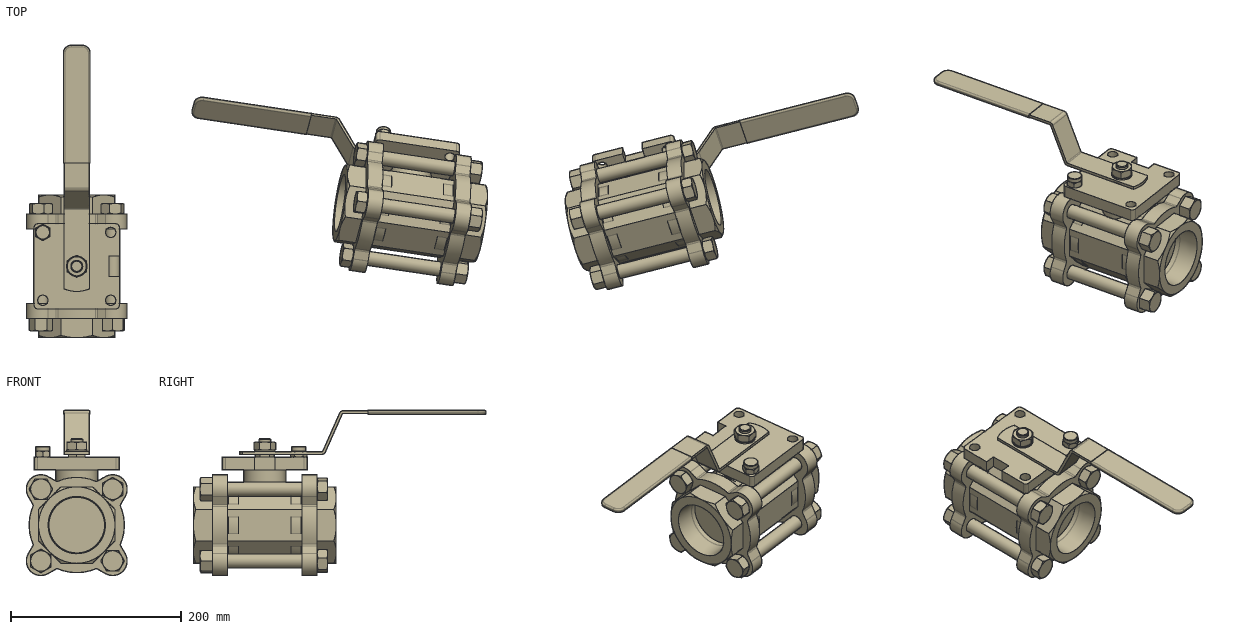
import cadquery as cq
import math


OVERALL_LENGTH = 344.0
OVERALL_WIDTH = 118.7

HEX_SIDES = 6
VERTEX_TO_Y = 30.0

BODY_SIDES = 8
BODY_FLATS = 89.8
BODY_HALF_LENGTH = 84.0
BODY_CHAMFER = 2.8
PORT_MOUTH_DIA = 67.5
PORT_DIA = 65.5
PORT_TAPER_DEPTH = 23.7
PORT_DEPTH = 30.0

BAND_DIA = 92.0
BAND_INNER_Y = 31.0
BAND_OUTER_Y = 42.5

FLANGE_RADIUS = 56.0
FLANGE_INNER_Y = 43.7
FLANGE_OUTER_Y = 61.5
EAR_RADIUS = 17.2
EAR_OFFSET = OVERALL_WIDTH / 2 - EAR_RADIUS
EAR_BLEND_ANGLE = 30.0
EAR_ROOT_FILLET = 2.8

ROD_DIA = 17.0
BOLT_FLATS = 24.0
BOLT_HEAD_HEIGHT = 14.5
BOLT_NUT_HEIGHT = 12.5
HEX_CHAMFER = 1.0
HEAD_SPIN = 0.0
NUT_SPIN = 15.0

NECK_DIA = 50.0
PLATE_SIDE = 100.0
PLATE_BOTTOM = 65.0
PLATE_TOP = 79.8
PLATE_CORNER_RADIUS = 4.0
PLATE_HOLE_OFFSET = 40.0
PLATE_HOLE_DIA = 12.0
NOTCH_WIDTH = 24.0
NOTCH_DEPTH = 12.0

STOP_DIA = 17.0
STOP_HEX_HEIGHT = 7.2
STOP_HEIGHT = 12.5
STOP_EDGE_CHAMFER = 0.5

STEM_FLATS = 19.5
STEM_DIA = 14.0
STEM_TOP = 101.5
STEM_CHAMFER = 1.0
WASHER_DIA = 24.0
WASHER_THICKNESS = 1.7
STEM_NUT_FLATS = 22.5
STEM_NUT_HEIGHT = 9.5

LEVER_WIDTH = 30.0
LEVER_THICKNESS = 3.5
LEVER_BOTTOM = 83.0
LEVER_TOP = 134.5
LEVER_NOSE_Y = -29.5
LEVER_NOSE_SAGITTA = 3.0
LOWER_BEND_Y = 67.8
UPPER_BEND_Y = 89.0
BEND_INNER_RADIUS = 1.5

GRIP_START_Y = 121.5
GRIP_TIP_Y = OVERALL_LENGTH - BODY_HALF_LENGTH
GRIP_WIDTH = 31.5
GRIP_THICKNESS = 5.0
GRIP_COVER = 0.5
GRIP_CORNER_RADIUS = 9.5
GRIP_EDGE_RADIUS = 2.0


def cylinder(diameter, bottom, top):
    """Upright cylinder on the Z axis."""
    return cq.Workplane("XY").workplane(offset=bottom).circle(diameter / 2).extrude(top - bottom)


def prism(sides, flats, height, spin):
    """Upright regular prism given by its width across flats and turned by spin degrees."""
    corner_dia = flats / math.cos(math.pi / sides)
    blank = cq.Workplane("XY").polygon(sides, corner_dia).extrude(height)
    return blank.rotate((0, 0, 0), (0, 0, 1), spin)


def chamfered_prism(sides, flats, height, spin, chamfer, both_ends=True):
    """Upright regular prism whose corners are turned down to the inscribed circle at its ends."""
    end_radius = flats / 2
    corner_radius = end_radius / math.cos(math.pi / sides)
    bottom = [(end_radius, 0), (corner_radius, chamfer)] if both_ends else [(corner_radius, 0)]
    top = [(corner_radius, height - chamfer), (end_radius, height)]
    envelope = (
        cq.Workplane("XZ")
        .polyline([(0, 0)] + bottom + top + [(0, height)])
        .close()
        .revolve(360, (0, 0), (0, 1))
    )
    return prism(sides, flats, height, spin).intersect(envelope)


def lay_forward(solid, start_y):
    """Turn an upright solid so that it grows toward -Y from start_y."""
    return solid.rotate((0, 0, 0), (1, 0, 0), 90).translate((0, start_y, 0))


def both_ends_of(solid):
    """The solid together with its mirror image across the middle of the valve."""
    return solid.union(solid.mirror("XZ"))


def make_body():
    body = chamfered_prism(BODY_SIDES, BODY_FLATS, 2 * BODY_HALF_LENGTH, 180 / BODY_SIDES, BODY_CHAMFER)
    band = cylinder(BAND_DIA, BAND_INNER_Y, BAND_OUTER_Y)
    return lay_forward(body, BODY_HALF_LENGTH).union(both_ends_of(lay_forward(band, 0)))


def make_ports():
    """Blind tapered sockets at both ends of the bore."""
    port = (
        cq.Workplane("XY")
        .moveTo(0, -BODY_HALF_LENGTH)
        .lineTo(PORT_MOUTH_DIA / 2, -BODY_HALF_LENGTH)
        .lineTo(PORT_DIA / 2, PORT_TAPER_DEPTH - BODY_HALF_LENGTH)
        .lineTo(PORT_DIA / 2, PORT_DEPTH - BODY_HALF_LENGTH)
        .lineTo(0, PORT_DEPTH - BODY_HALF_LENGTH)
        .close()
        .revolve(360, (0, 0), (0, 1))
    )
    return both_ends_of(port)


def make_flanges():
    thickness = FLANGE_OUTER_Y - FLANGE_INNER_Y
    angle = math.radians(EAR_BLEND_ANGLE)
    tangent_low = EAR_OFFSET - EAR_RADIUS * math.sin(angle)
    tangent_high = EAR_OFFSET + EAR_RADIUS * math.cos(angle)
    run = EAR_RADIUS
    root_low = tangent_low - run * math.cos(angle)
    root_high = tangent_high - run * math.sin(angle)
    ear_web = [
        (0, 0),
        (root_low, root_high),
        (tangent_low, tangent_high),
        (tangent_high, tangent_low),
        (root_high, root_low),
    ]
    ear = cq.Workplane("XY").polyline(ear_web).close().extrude(thickness)
    ear = ear.union(cylinder(2 * EAR_RADIUS, 0, thickness).translate((EAR_OFFSET, EAR_OFFSET, 0)))
    flange = cylinder(2 * FLANGE_RADIUS, 0, thickness)
    for quarter in range(4):
        flange = flange.union(ear.rotate((0, 0, 0), (0, 0, 1), 90 * quarter))
    flange = flange.edges("|Z").fillet(EAR_ROOT_FILLET)
    return both_ends_of(lay_forward(flange, -FLANGE_INNER_Y))


def make_tie_bolts():
    rod = lay_forward(cylinder(ROD_DIA, -FLANGE_OUTER_Y, FLANGE_OUTER_Y), 0)
    head = chamfered_prism(HEX_SIDES, BOLT_FLATS, BOLT_HEAD_HEIGHT, HEAD_SPIN, HEX_CHAMFER, False)
    nut = chamfered_prism(HEX_SIDES, BOLT_FLATS, BOLT_NUT_HEIGHT, NUT_SPIN, HEX_CHAMFER)
    bolt = rod.union(lay_forward(head, -FLANGE_OUTER_Y))
    bolt = bolt.union(lay_forward(nut, -FLANGE_OUTER_Y).mirror("XZ"))
    bolt = bolt.translate((-EAR_OFFSET, 0, EAR_OFFSET))
    bolts = bolt
    for quarter in range(1, 4):
        bolts = bolts.union(bolt.rotate((0, 0, 0), (0, 1, 0), 90 * quarter))
    return bolts


def make_plate():
    """Neck and square mounting plate with corner holes and a notch in its +X side."""
    thickness = PLATE_TOP - PLATE_BOTTOM
    base = cq.Workplane("XY").workplane(offset=PLATE_BOTTOM)
    plate = base.rect(PLATE_SIDE, PLATE_SIDE).extrude(thickness)
    plate = plate.edges("|Z").fillet(PLATE_CORNER_RADIUS)
    holes = base.rect(2 * PLATE_HOLE_OFFSET, 2 * PLATE_HOLE_OFFSET, forConstruction=True).vertices()
    notch = base.center(PLATE_SIDE / 2, 0).rect(2 * NOTCH_DEPTH, NOTCH_WIDTH).extrude(thickness)
    plate = plate.cut(holes.circle(PLATE_HOLE_DIA / 2).extrude(thickness)).cut(notch)
    return plate.union(cylinder(NECK_DIA, 0, PLATE_BOTTOM))


def make_stop_screw():
    """Shank in the (-X, +Y) plate hole, hexagon on the plate and a round top."""
    shank = cylinder(PLATE_HOLE_DIA, PLATE_BOTTOM, PLATE_TOP)
    hexagon = chamfered_prism(HEX_SIDES, STOP_DIA, STOP_HEX_HEIGHT, VERTEX_TO_Y, HEX_CHAMFER)
    hexagon = hexagon.translate((0, 0, PLATE_TOP))
    cap = cylinder(STOP_DIA, PLATE_TOP, PLATE_TOP + STOP_HEIGHT)
    cap = cap.faces(">Z").edges().chamfer(STOP_EDGE_CHAMFER)
    screw = shank.union(hexagon).union(cap)
    return screw.translate((-PLATE_HOLE_OFFSET, PLATE_HOLE_OFFSET, 0))


def make_stem():
    washer_bottom = LEVER_BOTTOM + LEVER_THICKNESS
    nut_bottom = washer_bottom + WASHER_THICKNESS
    shaft = prism(HEX_SIDES, STEM_FLATS, LEVER_BOTTOM - PLATE_TOP, VERTEX_TO_Y).translate((0, 0, PLATE_TOP))
    tip = cylinder(STEM_DIA, LEVER_BOTTOM, STEM_TOP).faces(">Z").edges().chamfer(STEM_CHAMFER)
    nut = chamfered_prism(HEX_SIDES, STEM_NUT_FLATS, STEM_NUT_HEIGHT, VERTEX_TO_Y, HEX_CHAMFER)
    nut = nut.translate((0, 0, nut_bottom))
    washer = cylinder(WASHER_DIA, washer_bottom, nut_bottom)
    return shaft.union(tip).union(washer).union(nut)


def make_lever():
    lower_top = LEVER_BOTTOM + LEVER_THICKNESS
    slope = math.atan2(LEVER_TOP - lower_top, UPPER_BEND_Y - LOWER_BEND_Y)
    shift = LEVER_THICKNESS * math.tan(slope / 2)
    grip_end = GRIP_TIP_Y - GRIP_CORNER_RADIUS
    sheet = (
        cq.Workplane("YZ")
        .workplane(offset=-LEVER_WIDTH / 2)
        .moveTo(LEVER_NOSE_Y, LEVER_BOTTOM)
        .lineTo(LOWER_BEND_Y + shift, LEVER_BOTTOM)
        .lineTo(UPPER_BEND_Y + shift, LEVER_TOP - LEVER_THICKNESS)
        .lineTo(grip_end, LEVER_TOP - LEVER_THICKNESS)
        .lineTo(grip_end, LEVER_TOP)
        .lineTo(UPPER_BEND_Y, LEVER_TOP)
        .lineTo(LOWER_BEND_Y, lower_top)
        .lineTo(LEVER_NOSE_Y, lower_top)
        .close()
        .extrude(LEVER_WIDTH)
    )
    outer_radius = BEND_INNER_RADIUS + LEVER_THICKNESS
    bends = [
        (LOWER_BEND_Y + shift, LEVER_BOTTOM, outer_radius),
        (UPPER_BEND_Y + shift, LEVER_TOP - LEVER_THICKNESS, BEND_INNER_RADIUS),
        (UPPER_BEND_Y, LEVER_TOP, outer_radius),
        (LOWER_BEND_Y, lower_top, BEND_INNER_RADIUS),
    ]
    for bend_y, bend_z, radius in bends:
        sheet = sheet.edges(cq.selectors.NearestToPointSelector((0, bend_y, bend_z))).fillet(radius)
    half_width = LEVER_WIDTH / 2
    nose_shoulder = LEVER_NOSE_Y + LEVER_NOSE_SAGITTA
    outline = (
        cq.Workplane("XY")
        .moveTo(-half_width, nose_shoulder)
        .threePointArc((0, LEVER_NOSE_Y), (half_width, nose_shoulder))
        .lineTo(half_width, GRIP_TIP_Y)
        .lineTo(-half_width, GRIP_TIP_Y)
        .close()
        .extrude(LEVER_TOP)
    )
    return sheet.intersect(outline)


def make_grip():
    top = LEVER_TOP + GRIP_COVER
    length = GRIP_TIP_Y - GRIP_START_Y
    grip = (
        cq.Workplane("XY")
        .workplane(offset=top - GRIP_THICKNESS)
        .center(0, GRIP_START_Y + length / 2)
        .rect(GRIP_WIDTH, length)
        .extrude(GRIP_THICKNESS)
    )
    grip = grip.edges("|Z and >Y").fillet(GRIP_CORNER_RADIUS)
    rim = grip.faces("|Z").edges("not <Y")
    return rim.fillet(GRIP_EDGE_RADIUS)


result = make_body()
for piece in (
    make_flanges(),
    make_tie_bolts(),
    make_plate(),
    make_stop_screw(),
    make_stem(),
    make_lever(),
    make_grip(),
):
    result = result.union(piece)
result = result.cut(make_ports())